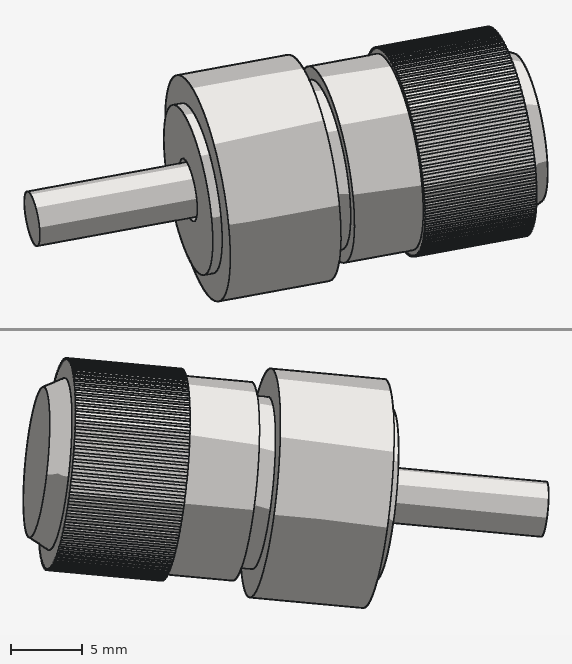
import cadquery as cq
import math

total_length = 35.8
pin_length = 11.3
lip_length = 0.68
flange_length = 8.02
neck_length = 1.3
barrel_length = 4.98
grip_length = 8.1

flange_start = pin_length + lip_length
neck_start = flange_start + flange_length
barrel_start = neck_start + neck_length
grip_start = barrel_start + barrel_length
cone_start = grip_start + grip_length

pin_radius = 1.95
bore_radius = 2.22
neck_radius = 6.0
flange_radius = 16.0 / 2
barrel_radius = 6.95
grip_radius = 7.4
cap_radius = 5.25

bore_depth = 1.8

groove_count = 100
groove_radius = 0.1


def turned_body():
    """Every turned diameter except the grip, as one half profile spun about the Y axis."""
    bore_bottom = pin_length + bore_depth
    half_profile = [
        (0, 0),
        (pin_radius, 0),
        (pin_radius, bore_bottom),
        (bore_radius, bore_bottom),
        (bore_radius, pin_length),
        (neck_radius, pin_length),
        (neck_radius, flange_start),
        (flange_radius, flange_start),
        (flange_radius, neck_start),
        (neck_radius, neck_start),
        (neck_radius, barrel_start),
        (barrel_radius, barrel_start),
        (barrel_radius, grip_start),
        (neck_radius, grip_start),
        (neck_radius, cone_start),
        (cap_radius, total_length),
        (0, total_length),
    ]
    points = [(y, radius) for radius, y in half_profile]
    return cq.Workplane("YZ").polyline(points).close().revolve(360, (0, 0, 0), (1, 0, 0))


def knurled_grip():
    """Grip ring whose rim alternates round-bottomed grooves with lands on the grip radius."""
    pitch = 2 * math.pi / groove_count
    groove_half_angle = 2 * math.asin(groove_radius / (2 * grip_radius))

    def rim(angle, radius=grip_radius):
        return (radius * math.cos(angle), radius * math.sin(angle))

    outline = cq.Workplane("XZ", origin=(0, grip_start, 0)).moveTo(*rim(-groove_half_angle))
    for i in range(groove_count):
        centre = i * pitch
        groove_floor = rim(centre, grip_radius - groove_radius)
        land_middle = rim(centre + pitch / 2)
        land_end = rim(centre + pitch - groove_half_angle)
        outline = outline.threePointArc(groove_floor, rim(centre + groove_half_angle))
        outline = outline.threePointArc(land_middle, land_end)
    return outline.close().extrude(-grip_length)


result = turned_body().union(knurled_grip())